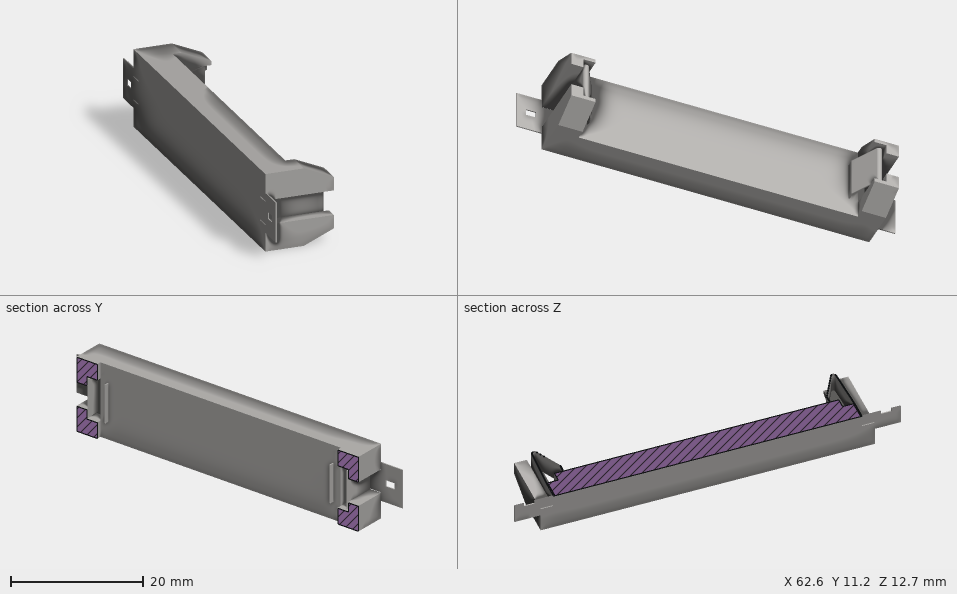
import cadquery as cq
import math

overall_length = 62.6
housing_length = 54.15
housing_width = 12.65
housing_height = 11.15
base_height = 4.8
post_length = 4.0
taper_start_height = 6.25
post_top_width = 8.4

notch_width = 4.0
pocket_width = 7.15
pocket_floor_height = 3.2

sheet = 0.2
clip_width = 6.5
neck_width = 3.6
hole_length = 1.7
hole_width = 1.05
hole_from_tab_end = 2.4
upright_from_tab_end = 6.25
upright_lean = 0.3
bend_radius = 0.5
bend_height = 10.0
arm_angle = 30.0
contact_x = -21.5
contact_height = 6.0
foot_setback = 0.05

tab_end_x = -overall_length / 2
housing_end_x = -housing_length / 2
post_inner_x = housing_end_x + post_length
upright_x = tab_end_x + upright_from_tab_end


def box(x_start, x_end, y_start, y_end, width):
    """Box between two X and two Y positions, centred on Z = 0."""
    size = (x_end - x_start, y_end - y_start, width)
    return cq.Workplane("XY").box(*size, centered=(False, False, True)).translate((x_start, y_start, 0))


def mirror_to_right(body):
    return body.mirror("YZ")


def end_openings():
    """Left-hand notch for the neck, pocket behind it for the spring, and the slot that takes the upright."""
    notch = box(housing_end_x, upright_x, 0, housing_height, notch_width)
    pocket = box(upright_x, post_inner_x, pocket_floor_height, housing_height, pocket_width)
    slot = box(upright_x, upright_x + sheet, 0, pocket_floor_height, clip_width)
    return notch.union(pocket).union(slot)


def make_housing():
    half_width = housing_width / 2
    half_top = post_top_width / 2
    end_outline = [
        (0, -half_width),
        (taper_start_height, -half_width),
        (housing_height, -half_top),
        (housing_height, half_top),
        (taper_start_height, half_width),
        (0, half_width),
    ]
    body = cq.Workplane("YZ").polyline(end_outline).close().extrude(housing_length / 2, both=True)
    body = body.cut(box(post_inner_x, -post_inner_x, base_height, housing_height, housing_width))
    openings = end_openings()
    return body.cut(openings).cut(mirror_to_right(openings))


def make_left_clip():
    lean_angle = math.atan2(upright_lean, bend_height - pocket_floor_height)
    arm = math.radians(arm_angle)
    bend_x = upright_x + upright_lean + bend_radius * math.cos(lean_angle)
    bend_y = bend_height

    def on_bend(radius, angle):
        return (bend_x + radius * math.cos(angle), bend_y + radius * math.sin(angle))

    bend_start = math.pi - lean_angle
    bend_middle = (bend_start + arm) / 2
    inner_radius = bend_radius - sheet
    inner_contact_x = contact_x - sheet

    spring = (
        cq.Workplane("XY")
        .moveTo(upright_x + sheet, 0)
        .lineTo(upright_x + sheet, pocket_floor_height)
        .lineTo(*on_bend(inner_radius, bend_start))
        .threePointArc(on_bend(inner_radius, bend_middle), on_bend(inner_radius, arm))
        .lineTo(inner_contact_x, contact_height)
        .lineTo(inner_contact_x - foot_setback, base_height)
        .lineTo(contact_x - foot_setback, base_height)
        .lineTo(contact_x, contact_height)
        .lineTo(*on_bend(bend_radius, arm))
        .threePointArc(on_bend(bend_radius, bend_middle), on_bend(bend_radius, bend_start))
        .lineTo(upright_x, pocket_floor_height)
        .lineTo(upright_x, 0)
        .close()
        .extrude(clip_width / 2, both=True)
    )
    tab = box(tab_end_x, housing_end_x, 0, sheet, clip_width)
    neck = box(housing_end_x, upright_x, 0, sheet, neck_width)
    hole_x = tab_end_x + hole_from_tab_end
    hole = box(hole_x - hole_length / 2, hole_x + hole_length / 2, 0, sheet, hole_width)
    return spring.union(neck).union(tab).cut(hole)


housing = make_housing()
left_clip = make_left_clip()
clips = [left_clip, mirror_to_right(left_clip)]

result = cq.Compound.makeCompound([housing.val(), *[clip.val() for clip in clips]])